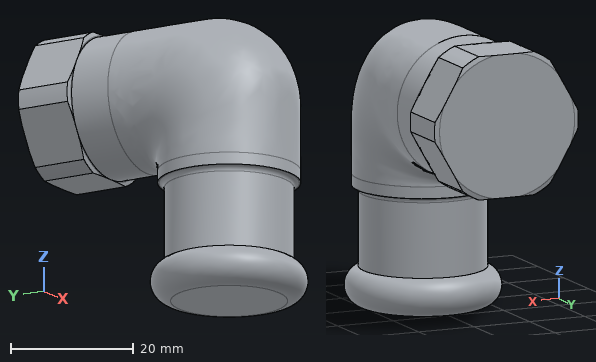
import cadquery as cq
import math


arm_diameter = 24
arm_end = 32.9
nut_length = 9.95
nut_across_flats = 24
nut_turn = 30
nut_corner_diameter = 26.0
nut_face_diameter = 24.4
nut_chamfer_depth = 0.25

collar_diameter = 23.5
collar_length = 2.0
tube_diameter = 21.3
neck_fillet = 0.85
press_end = -36
bead_diameter = 25.9
bead_height = 6.7

inner_bend_radius = 1.9
outer_bend_radius = 14.15
bend_start = 15.95
section_count = 25

arm_radius = arm_diameter / 2
collar_radius = collar_diameter / 2
tube_radius = tube_diameter / 2

pivot_y = collar_radius + inner_bend_radius
pivot_z = -arm_radius - inner_bend_radius
outer_center_y = outer_bend_radius - collar_radius
outer_center_z = arm_radius - outer_bend_radius


def outer_distance(angle):
    """Distance from the pivot to the outer outline of the bend, along the given angle.

    The outline is a straight top, a quarter arc and a straight front.
    """
    ray_y = -math.cos(angle)
    ray_z = math.sin(angle)
    offset_y = outer_center_y - pivot_y
    offset_z = outer_center_z - pivot_z
    if angle > math.atan2(arm_radius - pivot_z, -offset_y):
        return (arm_radius - pivot_z) / ray_z
    if angle < math.atan2(offset_z, pivot_y + collar_radius):
        return (pivot_y + collar_radius) / -ray_y
    along = offset_y * ray_y + offset_z * ray_z
    across = offset_y * ray_z - offset_z * ray_y
    return along + math.sqrt(outer_bend_radius**2 - across**2)


def bend_section(angle):
    """Ellipse spanning from the inner bend to the outer outline."""
    ray = cq.Vector(0, -math.cos(angle), math.sin(angle))
    normal = cq.Vector(0, math.sin(angle), math.cos(angle))
    half_length = (outer_distance(angle) - inner_bend_radius) / 2
    turned = angle / (math.pi / 2)
    half_width = collar_radius + (arm_radius - collar_radius) * turned
    center = cq.Vector(0, pivot_y, pivot_z) + ray * (inner_bend_radius + half_length)
    return cq.Wire.makeEllipse(half_length, half_width, center, normal, ray)


def make_bend():
    """Smooth loft through the bend sections, with a short straight lead into the threaded arm."""
    angles = [math.pi / 2 * i / (section_count - 1) for i in range(section_count)]
    sections = [bend_section(angle) for angle in angles]
    straight_lead = cq.Vector(0, bend_start - pivot_y, 0)
    sections.append(sections[-1].translate(straight_lead))
    return cq.Workplane(obj=cq.Solid.makeLoft(sections))


def make_threaded_arm():
    """Round arm from the bend to the nut, and a hexagonal nut with turned corners."""
    arm = cq.Workplane("XZ", origin=(0, bend_start, 0)).circle(arm_radius).extrude(bend_start - arm_end)
    nut_start = arm_end - nut_length
    hexagon = (
        cq.Workplane("XZ", origin=(0, nut_start, 0))
        .transformed(rotate=(0, 0, nut_turn))
        .polygon(6, nut_across_flats, circumscribed=True)
        .extrude(-nut_length)
    )
    turned_blank = (
        cq.Workplane("XY")
        .moveTo(0, nut_start)
        .lineTo(nut_face_diameter / 2, nut_start)
        .lineTo(nut_corner_diameter / 2, nut_start + nut_chamfer_depth)
        .lineTo(nut_corner_diameter / 2, arm_end - nut_chamfer_depth)
        .lineTo(nut_face_diameter / 2, arm_end)
        .lineTo(0, arm_end)
        .close()
        .revolve(360, (0, 0, 0), (0, 1, 0))
    )
    return arm.union(hexagon.intersect(turned_blank))


def make_press_arm():
    """Collar, necked tube and rounded sealing bead, turned about Z."""
    collar_bottom = pivot_z - collar_length
    bead_radius = bead_height / 2
    bead_center_r = bead_diameter / 2 - bead_radius
    bead_center_z = press_end + bead_radius
    bead_top = bead_center_z + math.sqrt(bead_radius**2 - (tube_radius - bead_center_r) ** 2)
    return (
        cq.Workplane("XZ")
        .moveTo(0, pivot_z)
        .lineTo(collar_radius, pivot_z)
        .lineTo(collar_radius, collar_bottom)
        .lineTo(tube_radius + neck_fillet, collar_bottom)
        .radiusArc((tube_radius, collar_bottom - neck_fillet), -neck_fillet)
        .lineTo(tube_radius, bead_top)
        .threePointArc((bead_diameter / 2, bead_center_z), (bead_center_r, press_end))
        .lineTo(0, press_end)
        .close()
        .revolve(360, (0, 0, 0), (0, 1, 0))
    )


result = make_bend().union(make_threaded_arm()).union(make_press_arm())